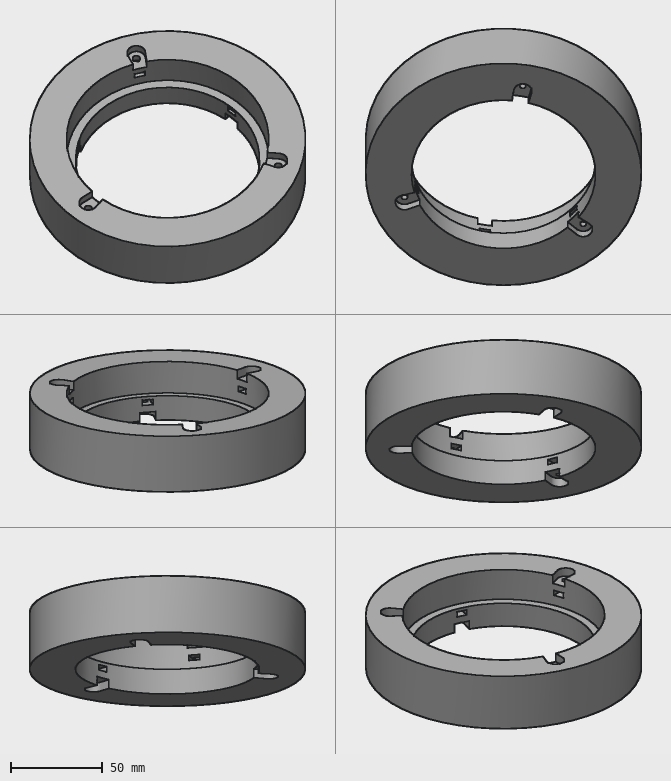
import cadquery as cq
import math

outer_diameter = 150
height = 32.0
upper_bore_diameter = 110.0
lower_bore_diameter = 100.0
upper_bore_depth = 18

pocket_count = 3
pocket_pitch = 360 / pocket_count
top_start_angle = 60
bottom_start_angle = top_start_angle - pocket_pitch / 2
pocket_depth = 5.0
pocket_end_radius = 5.0
top_mouth_half_width = 3.9
bottom_mouth_half_width = 4.5
hole_wall_distance = 7.0
top_hole_diameter = 4.0
bottom_hole_diameter = 3.3

slot_depth = 9
slot_height = 3
slot_width = 6
slot_beyond_hole = slot_width / 2


def pocket_outline(mouth_x, mouth_half_width, hole_x):
    """Teardrop on the X axis whose sides are tangent to its round outer end."""
    run = hole_x - mouth_x
    reach = math.hypot(run, mouth_half_width)
    tangent_angle = (
        math.pi
        - math.atan2(mouth_half_width, run)
        - math.acos(pocket_end_radius / reach)
    )
    tangent_x = hole_x + pocket_end_radius * math.cos(tangent_angle)
    tangent_y = pocket_end_radius * math.sin(tangent_angle)
    return (
        cq.Workplane("XY")
        .moveTo(mouth_x, -mouth_half_width)
        .lineTo(tangent_x, -tangent_y)
        .threePointArc((hole_x + pocket_end_radius, 0), (tangent_x, tangent_y))
        .lineTo(mouth_x, mouth_half_width)
        .lineTo(0, mouth_half_width)
        .lineTo(0, -mouth_half_width)
        .close()
    )


def screw_cutter(bore_diameter, mouth_half_width, hole_diameter):
    """Pocket, hole and slot on the +X side, cut upward from the plane Z = 0."""
    bore_radius = bore_diameter / 2
    mouth_x = math.sqrt(bore_radius**2 - mouth_half_width**2)
    hole_x = bore_radius + hole_wall_distance
    pocket = pocket_outline(mouth_x, mouth_half_width, hole_x).extrude(pocket_depth)
    hole = (
        cq.Workplane("XY")
        .center(hole_x, 0)
        .circle(hole_diameter / 2)
        .extrude(slot_depth + slot_height)
    )
    slot = (
        cq.Workplane("XY")
        .box(hole_x + slot_beyond_hole, slot_width, slot_height, centered=(False, True, False))
        .translate((0, 0, slot_depth))
    )
    return pocket.union(hole).union(slot)


def cut_around(body, cutter, start_angle):
    """Cut the cutter once per pocket position around the Z axis."""
    for index in range(pocket_count):
        angle = start_angle + index * pocket_pitch
        body = body.cut(cutter.rotate((0, 0, 0), (0, 0, 1), angle))
    return body


ring = cq.Workplane("XY").circle(outer_diameter / 2).circle(lower_bore_diameter / 2).extrude(height)
upper_bore = (
    cq.Workplane("XY", origin=(0, 0, height - upper_bore_depth))
    .circle(upper_bore_diameter / 2)
    .extrude(upper_bore_depth)
)
ring = ring.cut(upper_bore)

bottom_cutter = screw_cutter(lower_bore_diameter, bottom_mouth_half_width, bottom_hole_diameter)
top_cutter = (
    screw_cutter(upper_bore_diameter, top_mouth_half_width, top_hole_diameter)
    .mirror("XY")
    .translate((0, 0, height))
)
ring = cut_around(ring, bottom_cutter, bottom_start_angle)
result = cut_around(ring, top_cutter, top_start_angle)